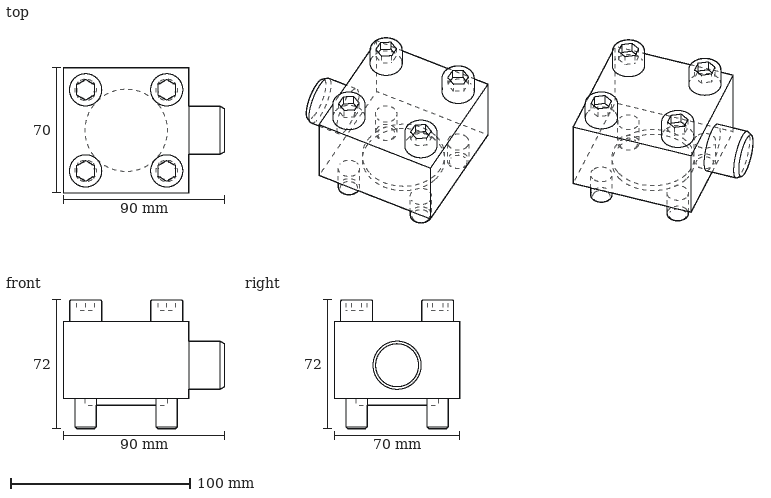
import math

import cadquery as cq

block_side = 70.0
block_height = 43.2

spigot_diameter = 46.0
spigot_height = 3.7

pipe_diameter = 26.9
pipe_length = 20.0
pipe_axis_height = 18.7
bevel_length = 2.5
bevel_angle = 30.0

bolt_circle_diameter = 64.0
bolt_spacing = bolt_circle_diameter / math.sqrt(2)
bolt_diameter = 12.0
bolt_projection = 16.8
bolt_tip_chamfer = 1.1
head_diameter = 18.0
head_height = 12.0
head_fillet = 1.0
hex_sides = 6
hex_across_flats = 10.0
hex_depth = 6.0


def make_block():
    return cq.Workplane("XY").box(block_side, block_side, block_height, centered=(True, True, False))


def make_spigot():
    return cq.Workplane("XY").circle(spigot_diameter / 2).extrude(-spigot_height)


def make_pipe():
    bevel_depth = bevel_length * math.tan(math.radians(bevel_angle))
    return (
        cq.Workplane("YZ", origin=(block_side / 2, 0, pipe_axis_height))
        .circle(pipe_diameter / 2)
        .extrude(pipe_length)
        .faces(">X")
        .chamfer(bevel_length, bevel_depth)
    )


def make_screw_head():
    """Cylindrical head on the block's top face, with a rounded rim and a hexagon socket."""
    head = (
        cq.Workplane("XY", origin=(0, 0, block_height))
        .circle(head_diameter / 2)
        .extrude(head_height)
        .faces(">Z")
        .edges()
        .fillet(head_fillet)
    )
    socket = (
        cq.Workplane("XY", origin=(0, 0, block_height + head_height))
        .polygon(hex_sides, hex_across_flats, circumscribed=True)
        .extrude(-hex_depth)
    )
    return head.cut(socket)


def make_screw_shank():
    """Shank end projecting below the block, with a chamfered tip."""
    return (
        cq.Workplane("XY")
        .circle(bolt_diameter / 2)
        .extrude(-bolt_projection)
        .faces("<Z")
        .chamfer(bolt_tip_chamfer)
    )


result = make_block().union(make_spigot()).union(make_pipe())
for x_side in (-1, 1):
    for y_side in (-1, 1):
        screw_position = (x_side * bolt_spacing / 2, y_side * bolt_spacing / 2, 0)
        result = result.union(make_screw_head().translate(screw_position))
        result = result.union(make_screw_shank().translate(screw_position))